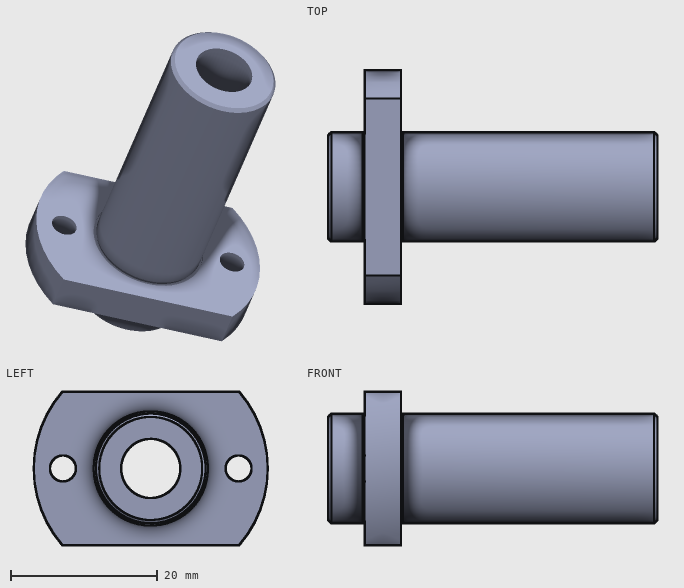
import cadquery as cq

length = 45.0
body_diameter = 15.0
bore_diameter = 8.05
end_chamfer = 0.45

flange_diameter = 32.0
flange_height = 21.0
flange_start = 5.0
flange_thickness = 5.0
flange_end = flange_start + flange_thickness

hole_diameter = 3.5
hole_spacing = 24.0

relief_width = 0.25
relief_depth = 0.22
recess_diameter = 15.6
recess_depth = 0.22


def disc(diameter, start, thickness):
    """Solid cylinder along X."""
    return cq.Workplane("YZ").workplane(offset=start).circle(diameter / 2).extrude(thickness)


def relief_ring(start, thickness, outer_diameter):
    """Ring around the axis that reaches down to the floor of the relief grooves."""
    floor_diameter = body_diameter - 2 * relief_depth
    return disc(outer_diameter, start, thickness).cut(disc(floor_diameter, start, thickness))


body = disc(body_diameter, 0, length).faces("<X or >X").chamfer(end_chamfer)

flats = cq.Workplane("XY").box(2 * length, flange_diameter, flange_height)
flange = disc(flange_diameter, flange_start, flange_thickness).intersect(flats)

result = body.union(flange)

relief_length = relief_width + recess_depth
for relief_start in (flange_start - relief_width, flange_end - recess_depth):
    result = result.cut(relief_ring(relief_start, relief_length, recess_diameter))

result = result.cut(disc(bore_diameter, 0, length))

for side in (-1, 1):
    hole = disc(hole_diameter, flange_start, flange_thickness)
    result = result.cut(hole.translate((0, side * hole_spacing / 2, 0)))